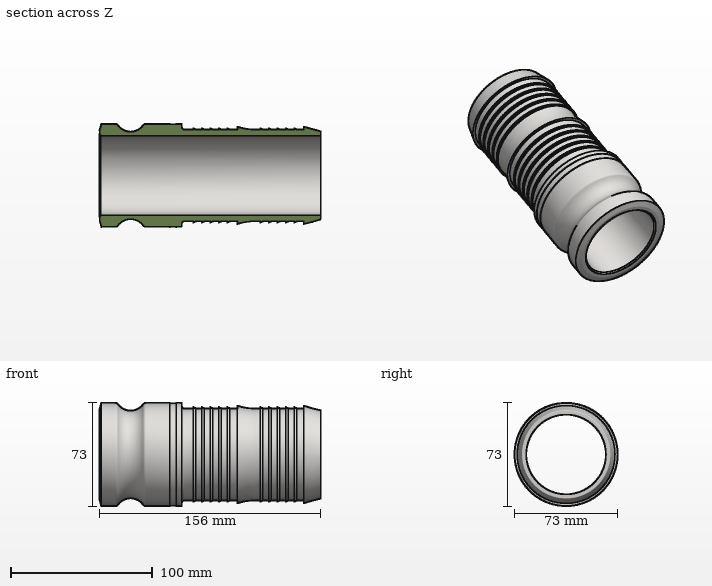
import cadquery as cq
import math

length = 156.0
bore_radius = 56.0 / 2
bore_chamfer = 1.0

head_radius = 73.0 / 2
mouth_face_radius = 64.0 / 2
mouth_bevel_length = 1.2
head_end = 58.0
head_edge_radius = 0.5
relief_radius = 72.5 / 2
relief_start = 49.4
relief_end = 54.2

groove_center = 21.9
groove_bottom_radius = 62.0 / 2
groove_arc_radius = 11.0
groove_lip_radius = 2.5

shank_radius = 65.0 / 2
shank_fillet = 2.0

barb_radius = 67.0 / 2
barb_length = 2.0
barb_pitch = 6.0
barbs_per_group = 5
first_group_start = 66.0
second_group_start = 113.2

middle_barb_radius = 69.0 / 2
middle_barb_start = 97.2
middle_barb_length = 11.8

end_barb_radius = 69.0 / 2
end_barb_start = 144.0
tip_radius = 62.4 / 2
tip_edge_radius = 0.5


def ring(points):
    """Revolve a closed (station, radius) polygon about the X axis."""
    return cq.Workplane("XY").polyline(points).close().revolve(360, (0, 0, 0), (1, 0, 0))


def cylinder(start, end, radius):
    """Solid cylinder about the X axis between two stations."""
    return cq.Workplane("YZ", origin=(start, 0, 0)).circle(radius).extrude(end - start)


def make_head():
    """Coupling head with a bevelled mouth and a rounded rear edge."""
    head = cylinder(0, head_end, head_radius).faces(">X").edges().fillet(head_edge_radius)
    bevel = ring([
        (0, mouth_face_radius),
        (mouth_bevel_length, head_radius),
        (0, head_radius),
    ])
    relief = cylinder(relief_start, relief_end, head_radius).cut(
        cylinder(relief_start, relief_end, relief_radius)
    )
    return head.cut(bevel).cut(relief).cut(make_groove())


def make_groove():
    """Cutter for the cam groove: one concave arc between two convex lips."""
    arc_height = groove_bottom_radius + groove_arc_radius
    lip_height = head_radius - groove_lip_radius
    center_distance = groove_arc_radius + groove_lip_radius
    drop = arc_height - lip_height
    half_width = math.sqrt(center_distance**2 - drop**2)

    blend_share = groove_arc_radius / center_distance
    blend_offset = half_width * blend_share
    blend_height = arc_height - drop * blend_share

    lip_angle = math.atan2(half_width, drop) / 2
    lip_mid_offset = half_width - groove_lip_radius * math.sin(lip_angle)
    lip_mid_height = lip_height + groove_lip_radius * math.cos(lip_angle)

    return (
        cq.Workplane("XY")
        .moveTo(groove_center - half_width, head_radius)
        .threePointArc(
            (groove_center - lip_mid_offset, lip_mid_height),
            (groove_center - blend_offset, blend_height),
        )
        .threePointArc(
            (groove_center, groove_bottom_radius),
            (groove_center + blend_offset, blend_height),
        )
        .threePointArc(
            (groove_center + lip_mid_offset, lip_mid_height),
            (groove_center + half_width, head_radius),
        )
        .close()
        .revolve(360, (0, 0, 0), (1, 0, 0))
    )


def make_shank_fillet():
    """Concave fillet ring between the rear face of the head and the shank."""
    diagonal_gap = shank_fillet * (1 - math.sqrt(0.5))
    return (
        cq.Workplane("XY")
        .moveTo(head_end, 0)
        .lineTo(head_end, shank_radius + shank_fillet)
        .threePointArc(
            (head_end + diagonal_gap, shank_radius + diagonal_gap),
            (head_end + shank_fillet, shank_radius),
        )
        .lineTo(head_end + shank_fillet, 0)
        .close()
        .revolve(360, (0, 0, 0), (1, 0, 0))
    )


def make_small_barb(start):
    """Barb with a square front shoulder and a conical flank."""
    return ring([
        (start, 0),
        (start, barb_radius),
        (start + barb_length, shank_radius),
        (start + barb_length, 0),
    ])


def make_middle_barb():
    """Barb with a square front shoulder and a concave flank."""
    rise = middle_barb_radius - shank_radius
    flank_radius = (middle_barb_length**2 + rise**2) / (2 * rise)
    half_run = middle_barb_length / 2
    mid_rise = flank_radius - math.sqrt(flank_radius**2 - half_run**2)
    end = middle_barb_start + middle_barb_length
    return (
        cq.Workplane("XY")
        .moveTo(middle_barb_start, 0)
        .lineTo(middle_barb_start, middle_barb_radius)
        .threePointArc((end - half_run, shank_radius + mid_rise), (end, shank_radius))
        .lineTo(end, 0)
        .close()
        .revolve(360, (0, 0, 0), (1, 0, 0))
    )


def make_end_barb():
    """Tapered barb closing the shank, with a rounded tip edge."""
    barb = ring([
        (end_barb_start, 0),
        (end_barb_start, end_barb_radius),
        (length, tip_radius),
        (length, 0),
    ])
    return barb.faces(">X").edges().fillet(tip_edge_radius)


def make_bore():
    """Through bore with a chamfered mouth."""
    mouth = ring([
        (0, 0),
        (0, bore_radius + bore_chamfer),
        (bore_chamfer, bore_radius),
        (bore_chamfer, 0),
    ])
    return cylinder(0, length, bore_radius).union(mouth)


result = make_head()
result = result.union(cylinder(head_end, end_barb_start, shank_radius))
result = result.union(make_shank_fillet())
for group_start in (first_group_start, second_group_start):
    for index in range(barbs_per_group):
        result = result.union(make_small_barb(group_start + index * barb_pitch))
result = result.union(make_middle_barb())
result = result.union(make_end_barb())
result = result.cut(make_bore())